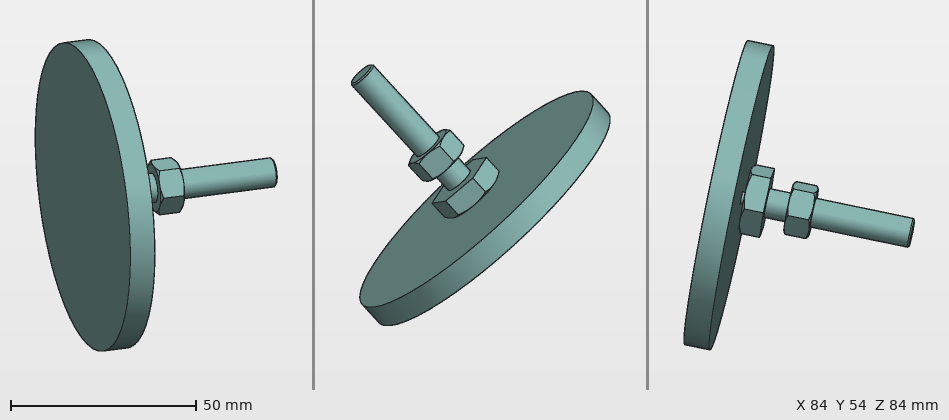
import cadquery as cq
import math

plate_diameter = 84.0
plate_thickness = 7.0
overall_length = 54.0

stud_diameter = 8.0
stud_tip_chamfer = 0.4
head_across_flats = 17.0
head_thickness = 6.0
head_gap = 1.1
neck_base_diameter = 3.5
neck_top_diameter = 2.7

nut_across_flats = 13.0
nut_thickness = 6.8
nut_start = 20.0

crown_angle = 30.0

head_start = plate_thickness + head_gap
head_end = head_start + head_thickness


def disc(diameter, start, length):
    """Cylinder on the Y axis, reaching from Y = start to Y = start + length."""
    plane = cq.Workplane("XZ", origin=(0, start, 0))
    return plane.circle(diameter / 2).extrude(-length)


def crowned_hexagon(across_flats, start, length, crown_far_end):
    """Hexagonal prism with corners on X and cone-cut corners at one or both ends."""
    corner_radius = across_flats / math.sqrt(3)
    flat_radius = across_flats / 2
    crown_depth = (corner_radius - flat_radius) * math.tan(math.radians(crown_angle))
    end = start + length

    prism = (
        cq.Workplane("XZ", origin=(0, start, 0))
        .polygon(6, 2 * corner_radius)
        .extrude(-length)
    )
    envelope = (
        cq.Workplane("XY")
        .moveTo(0, start)
        .lineTo(flat_radius, start)
        .lineTo(corner_radius, start + crown_depth)
    )
    if crown_far_end:
        envelope = envelope.lineTo(corner_radius, end - crown_depth).lineTo(flat_radius, end)
    else:
        envelope = envelope.lineTo(corner_radius, end)
    envelope = envelope.lineTo(0, end).close().revolve(360, (0, 0, 0), (0, 1, 0))
    return prism.intersect(envelope)


def make_plate():
    return disc(plate_diameter, 0, plate_thickness)


def make_stud():
    """Plain rod, hexagonal head and the tapered neck that stands on the plate."""
    rod = disc(stud_diameter, head_end, overall_length - head_end)
    rod = rod.faces(">Y").chamfer(stud_tip_chamfer)
    head = crowned_hexagon(head_across_flats, head_start, head_thickness, crown_far_end=False)
    neck = (
        cq.Workplane("XZ", origin=(0, plate_thickness, 0))
        .circle(neck_base_diameter / 2)
        .workplane(offset=-head_gap)
        .circle(neck_top_diameter / 2)
        .loft()
    )
    return head.union(rod).union(neck)


def make_nut():
    nut = crowned_hexagon(nut_across_flats, nut_start, nut_thickness, crown_far_end=True)
    return nut.cut(disc(stud_diameter, nut_start, nut_thickness))


plate = make_plate()
stud = make_stud()
nut = make_nut()

result = cq.Compound.makeCompound([plate.val(), stud.val(), nut.val()])